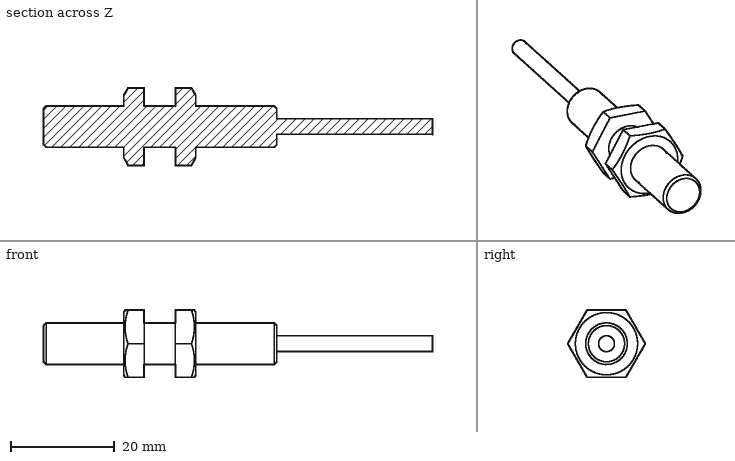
import cadquery as cq
import math

total_length = 75.0
barrel_length = 45.0
barrel_diameter = 8.0
barrel_chamfer = 0.5
cable_diameter = 3.1

nut_across_flats = 13.0
nut_thickness = 4.0
nut_face_diameter = 12.0
nut_chamfer_angle = 30.0
front_nut_start = 15.45
nut_gap = 6.0

nut_across_corners = nut_across_flats / math.cos(math.radians(30))
rear_nut_start = front_nut_start + nut_thickness + nut_gap


def cylinder_along_x(start, length, diameter):
    return cq.Workplane("YZ", origin=(start, 0, 0)).circle(diameter / 2).extrude(length)


def nut(start, chamfer_at_front):
    """Solid hexagon with corners on Y, chamfered on one end face."""
    end = start + nut_thickness
    hexagon = (
        cq.Workplane("YZ", origin=(start, 0, 0))
        .polygon(6, nut_across_corners)
        .extrude(nut_thickness)
    )
    corner_radius = nut_across_corners / 2
    face_radius = nut_face_diameter / 2
    chamfer_depth = (corner_radius - face_radius) * math.tan(math.radians(nut_chamfer_angle))
    if chamfer_at_front:
        chamfered_face, plain_face = start, end
        cone_base = start + chamfer_depth
    else:
        chamfered_face, plain_face = end, start
        cone_base = end - chamfer_depth
    envelope = (
        cq.Workplane("XY")
        .moveTo(plain_face, 0)
        .lineTo(plain_face, corner_radius)
        .lineTo(cone_base, corner_radius)
        .lineTo(chamfered_face, face_radius)
        .lineTo(chamfered_face, 0)
        .close()
        .revolve(360, (0, 0, 0), (1, 0, 0))
    )
    return hexagon.intersect(envelope)


barrel = cylinder_along_x(0, barrel_length, barrel_diameter).faces("<X or >X").chamfer(barrel_chamfer)
cable = cylinder_along_x(barrel_length, total_length - barrel_length, cable_diameter)
front_nut = nut(front_nut_start, chamfer_at_front=True)
rear_nut = nut(rear_nut_start, chamfer_at_front=False)

result = barrel.union(cable).union(front_nut).union(rear_nut)